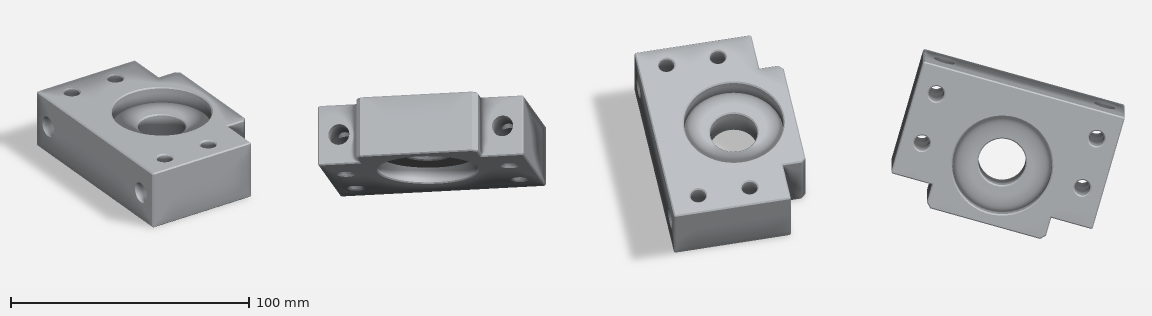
import cadquery as cq

width = 88.0
depth = 60.0
height = 26.0
edge_break = 0.5

shoulder_depth = 50.0
tab_width = 52.0
tab_corner_chamfer = 2.0

bore_center = (0.0, 34.0)
bore_diameter = 20.0
seat_diameter = 42.0
seat_depth = 6.95
web_bottom = seat_depth
web_top = height - seat_depth

seat_groove_inner_diameter = 41.0
seat_groove_depth = 0.3

hole_spacing_x = 70.05
vertical_hole_pitch = 22.0
vertical_hole_diameter = 6.6
cross_hole_diameter = 9.0
cross_hole_z = height / 2

hole_xs = (-hole_spacing_x / 2, hole_spacing_x / 2)
vertical_hole_ys = (bore_center[1], bore_center[1] - vertical_hole_pitch)


def make_body():
    """T-shaped block with its front face on y = 0 and its underside on z = 0."""
    base = cq.Workplane("XY").box(width, shoulder_depth, height, centered=(True, False, False))
    tab = (
        cq.Workplane("XY")
        .box(tab_width, depth, height, centered=(True, False, False))
        .edges("|Z and >Y")
        .chamfer(tab_corner_chamfer)
    )
    body = base.union(tab)
    body = body.faces("<X or >X").edges("|Z").chamfer(edge_break)
    return body.faces("<Z or >Z").edges().chamfer(edge_break)


def vertical_bore(center, diameter, bottom, top):
    """Cylinder along Z between two heights, used as a cutter."""
    return (
        cq.Workplane("XY", origin=(center[0], center[1], bottom))
        .circle(diameter / 2)
        .extrude(top - bottom)
    )


def countersink(center, diameter, face_z, direction):
    """Cone that breaks the mouth of a hole; direction is +1 for a face looking up, -1 for down."""
    radius = diameter / 2
    cone = cq.Solid.makeCone(
        radius + edge_break,
        radius,
        edge_break,
        pnt=cq.Vector(center[0], center[1], face_z),
        dir=cq.Vector(0, 0, -direction),
    )
    return cq.Workplane(cone)


def drill_vertical_hole(body, center, diameter, bottom, top):
    """Cut a hole between two flat faces and break both of its mouths."""
    body = body.cut(vertical_bore(center, diameter, bottom, top))
    body = body.cut(countersink(center, diameter, top, 1))
    return body.cut(countersink(center, diameter, bottom, -1))


result = make_body()

result = result.cut(vertical_bore(bore_center, seat_diameter, web_top, height))
result = result.cut(countersink(bore_center, seat_diameter, height, 1))
result = result.cut(vertical_bore(bore_center, seat_diameter, 0, web_bottom))
result = result.cut(countersink(bore_center, seat_diameter, 0, -1))
result = drill_vertical_hole(result, bore_center, bore_diameter, web_bottom, web_top)

groove = vertical_bore(bore_center, seat_diameter, web_top - seat_groove_depth, web_top)
groove_core = vertical_bore(bore_center, seat_groove_inner_diameter, web_top - seat_groove_depth, web_top)
result = result.cut(groove.cut(groove_core))

for x in hole_xs:
    for y in vertical_hole_ys:
        result = drill_vertical_hole(result, (x, y), vertical_hole_diameter, 0, height)

for x in hole_xs:
    cross_hole = (
        cq.Workplane("XZ", origin=(x, 0, cross_hole_z))
        .circle(cross_hole_diameter / 2)
        .extrude(-shoulder_depth)
    )
    result = result.cut(cross_hole)